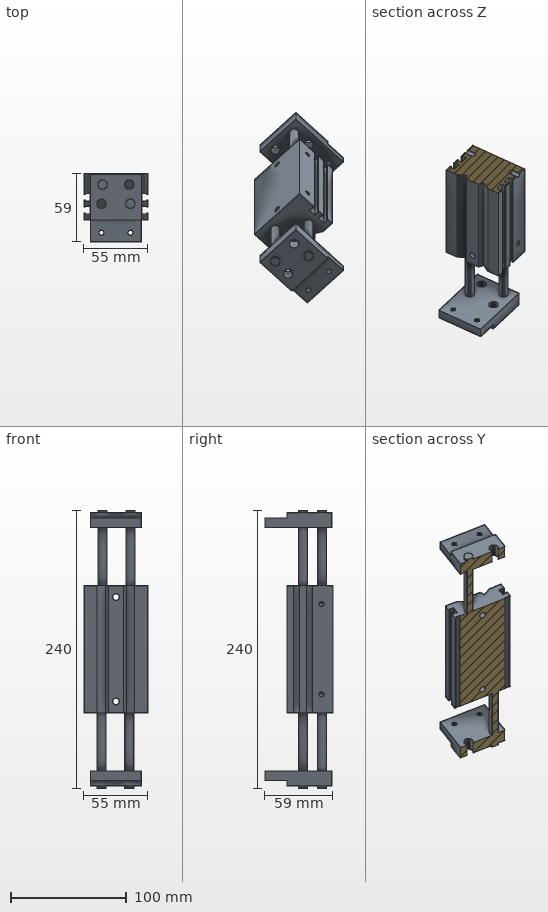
import cadquery as cq
import math

BODY_WIDTH = 55.0
BODY_DEPTH = 40.0
BODY_HEIGHT = 110.0

SLOT_CENTRES_Y = (8.5, 19.5)
SLOT_MOUTH = 5.0
SLOT_INNER = 6.5
SLOT_LIP = 1.2
SLOT_DEPTH = 5.0

LAND_HALF_WIDTH = 6.6
GROOVE_OUTER_X = 16.2
GROOVE_INNER_ANGLE = math.radians(60)
GROOVE_OUTER_ANGLE = math.radians(30)

MOUNT_HOLE_DIAMETER = 5.5
MOUNT_HOLE_PITCH = 90.0
SIDE_HOLE_DIAMETER = 4.2
SIDE_HOLE_PITCH = 78.0
SIDE_HOLE_Y = 30.0
SIDE_HOLE_DEPTH = 8.0
DRILL_POINT_ANGLE = math.radians(118)

PLATE_WIDTH = 44.0
PLATE_BACK_INSET = 1.0
TONGUE_LENGTH = 19.0
PLATE_THICKNESS = 13.0
TONGUE_STEP = 4.5
PLATE_GAP = 50.0
TONGUE_HOLE_DIAMETER = 4.2
TONGUE_HOLE_X = 12.5
TONGUE_HOLE_Y = -11.0

ROD_DIAMETER = 8.0
ROD_PROTRUSION = 2.0
FRONT_ROD_X = 12.5
FRONT_ROD_Y = 14.0
BACK_ROD_X = 11.5
BACK_ROD_Y = 30.5

BODY_TOP = BODY_HEIGHT / 2
PLATE_BOTTOM = BODY_TOP + PLATE_GAP
PLATE_TOP = PLATE_BOTTOM + PLATE_THICKNESS
TONGUE_TOP = PLATE_TOP - TONGUE_STEP


def block(x_range, y_range, z_range):
    """Box between the given limits on each axis."""
    size = [high - low for low, high in (x_range, y_range, z_range)]
    corner = (x_range[0], y_range[0], z_range[0])
    return cq.Workplane("XY").box(*size, centered=False).translate(corner)


def body_span(x_range, y_range):
    """Box running the full height of the body."""
    return block(x_range, y_range, (-BODY_TOP, BODY_TOP))


def t_slot(centre_y):
    """T-slot cutter for the +X side face."""
    face_x = BODY_WIDTH / 2
    floor_x = face_x - SLOT_DEPTH
    mouth = body_span((floor_x, face_x), (centre_y - SLOT_MOUTH / 2, centre_y + SLOT_MOUTH / 2))
    inner = body_span(
        (floor_x, face_x - SLOT_LIP),
        (centre_y - SLOT_INNER / 2, centre_y + SLOT_INNER / 2),
    )
    return mouth.union(inner)


def v_groove():
    """Groove cutter for the +X half of the front face."""
    width_per_depth = 1 / math.tan(GROOVE_INNER_ANGLE) + 1 / math.tan(GROOVE_OUTER_ANGLE)
    depth = (GROOVE_OUTER_X - LAND_HALF_WIDTH) / width_per_depth
    root_x = LAND_HALF_WIDTH + depth / math.tan(GROOVE_INNER_ANGLE)
    profile = [(LAND_HALF_WIDTH, 0), (root_x, depth), (GROOVE_OUTER_X, 0)]
    return cq.Workplane("XY").polyline(profile).close().extrude(BODY_TOP, both=True)


def mount_holes():
    """Holes through the body from front to back."""
    return (
        cq.Workplane("XZ")
        .rarray(1, MOUNT_HOLE_PITCH, 1, 2)
        .circle(MOUNT_HOLE_DIAMETER / 2)
        .extrude(-BODY_DEPTH)
    )


def side_holes():
    """Blind drilled holes with conical ends in the +X side face."""
    radius = SIDE_HOLE_DIAMETER / 2
    point_length = radius / math.tan(DRILL_POINT_ANGLE / 2)
    face_x = BODY_WIDTH / 2
    floor_x = face_x - SIDE_HOLE_DEPTH
    profile = [(face_x, 0), (face_x, radius), (floor_x, radius), (floor_x - point_length, 0)]
    drill = cq.Workplane("XY").polyline(profile).close().revolve(360, (0, 0), (1, 0))
    upper = drill.translate((0, SIDE_HOLE_Y, SIDE_HOLE_PITCH / 2))
    lower = drill.translate((0, SIDE_HOLE_Y, -SIDE_HOLE_PITCH / 2))
    return upper.union(lower)


def make_body():
    body = body_span((-BODY_WIDTH / 2, BODY_WIDTH / 2), (0, BODY_DEPTH))
    one_side_cutters = [t_slot(centre_y) for centre_y in SLOT_CENTRES_Y]
    one_side_cutters += [v_groove(), side_holes()]
    for cutter in one_side_cutters:
        body = body.cut(cutter).cut(cutter.mirror("YZ"))
    return body.cut(mount_holes())


def vertical_cylinders(points, diameter, bottom, top):
    """Cylinders along Z at the given XY points."""
    return (
        cq.Workplane("XY", origin=(0, 0, bottom))
        .pushPoints(points)
        .circle(diameter / 2)
        .extrude(top - bottom)
    )


def make_end():
    """Upper end plate together with its two rods."""
    rod_points = [(-BACK_ROD_X, BACK_ROD_Y), (FRONT_ROD_X, FRONT_ROD_Y)]
    free_points = [(-x, y) for x, y in rod_points]
    tongue_points = [(-TONGUE_HOLE_X, TONGUE_HOLE_Y), (TONGUE_HOLE_X, TONGUE_HOLE_Y)]
    plate_x = (-PLATE_WIDTH / 2, PLATE_WIDTH / 2)
    plate_back = BODY_DEPTH - PLATE_BACK_INSET

    plate = block(plate_x, (0, plate_back), (PLATE_BOTTOM, PLATE_TOP))
    tongue = block(plate_x, (-TONGUE_LENGTH, 0), (PLATE_BOTTOM, TONGUE_TOP))
    free_holes = vertical_cylinders(free_points, ROD_DIAMETER, PLATE_BOTTOM, PLATE_TOP)
    tongue_holes = vertical_cylinders(tongue_points, TONGUE_HOLE_DIAMETER, PLATE_BOTTOM, TONGUE_TOP)
    rods = vertical_cylinders(rod_points, ROD_DIAMETER, BODY_TOP, PLATE_TOP + ROD_PROTRUSION)
    return plate.union(tongue).cut(free_holes).cut(tongue_holes).union(rods)


upper_end = make_end()
lower_end = upper_end.rotate((0, 0, 0), (0, 1, 0), 180)
result = make_body().union(upper_end).union(lower_end)